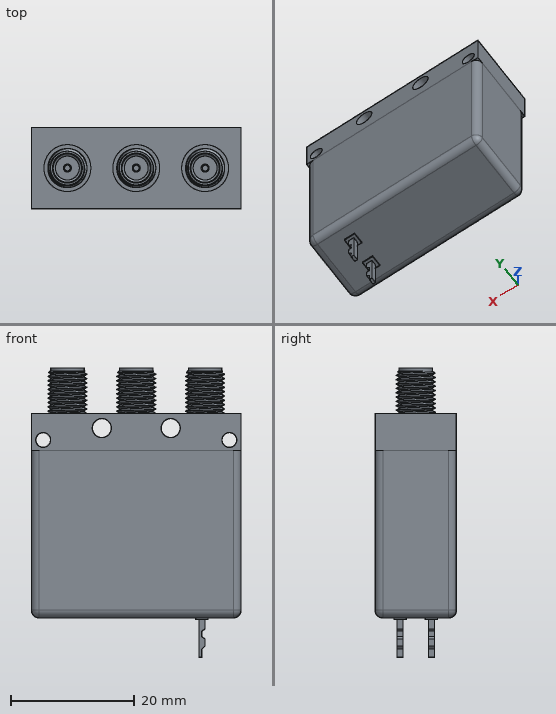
import cadquery as cq
import math

WIDTH = 34.04
DEPTH = 13.23
BLOCK_HEIGHT = 6.05
BLOCK_TOP = 33.23
BLOCK_BOTTOM = BLOCK_TOP - BLOCK_HEIGHT
CASE_ROUND = 1.27

MOUNTING_HOLES = [
    (3.05, 5.59, 2.39),
    (2.36, 15.11, 4.32),
]

TERMINAL_X = 10.67
TERMINAL_SPACING = 5.08
TERMINAL_LENGTH = 6.37
TERMINAL_SIZE = 1.02
TERMINAL_NECK = TERMINAL_SIZE / 2
NOTCH_TOP = 1.78
NOTCH_HEIGHT = 1.6
NOTCH_SLOPE_DROP = 0.35
TIP_SLOPE_TOP = 4.52
COLLAR_SIZE = 2.03
COLLAR_HEIGHT = 0.27

CONNECTOR_COUNT = 3
CONNECTOR_PITCH = 11.18
CONNECTOR_HEIGHT = 7.39
FLANGE_RADIUS = 3.81
FLANGE_THICKNESS = 1.0
BARREL_RADIUS = 2.74
BORE_RADIUS = 2.3
BORE_DEPTH = 1.67
BORE_CHAMFER = 0.13
SEAT_RADIUS = 1.94
SEAT_ANGLE = 38
CONTACT_RADIUS = 0.65
CONTACT_HOLE_RADIUS = 0.47
CONTACT_HOLE_DEPTH = 2.0

THREAD_RADIUS = 6.35 / 2
THREAD_PITCH = 25.4 / 36
THREAD_CREST = 0.02
THREAD_FLANK_ANGLE = 30
PLAIN_LIP_HEIGHT = 0.55
THREAD_TOP = CONNECTOR_HEIGHT - PLAIN_LIP_HEIGHT
THREAD_CHAMFER = THREAD_RADIUS - BARREL_RADIUS
ROOT_OVERLAP = 0.1


def make_terminal(y):
    """Flat lug, notched on its +X edge and stepped at 45 degrees to a narrow tip, under a square collar."""
    left = TERMINAL_X - TERMINAL_SIZE / 2
    right = left + TERMINAL_SIZE
    neck = left + TERMINAL_NECK
    notch_top = -NOTCH_TOP
    notch_bottom = notch_top - NOTCH_HEIGHT
    tip_top = -TIP_SLOPE_TOP
    tip_bottom = tip_top - (right - neck)
    blade = (
        cq.Workplane("XZ", origin=(0, y + TERMINAL_SIZE / 2, 0))
        .polyline([
            (left, -COLLAR_HEIGHT),
            (right, -COLLAR_HEIGHT),
            (right, notch_top),
            (neck, notch_top - NOTCH_SLOPE_DROP),
            (neck, notch_bottom + NOTCH_SLOPE_DROP),
            (right, notch_bottom),
            (right, tip_top),
            (neck, tip_bottom),
            (neck, -TERMINAL_LENGTH),
            (left, -TERMINAL_LENGTH),
        ])
        .close()
        .extrude(TERMINAL_SIZE)
    )
    collar = (
        cq.Workplane("XY", origin=(TERMINAL_X, y, -COLLAR_HEIGHT))
        .box(COLLAR_SIZE, COLLAR_SIZE, COLLAR_HEIGHT, centered=(True, True, False))
    )
    return collar.union(blade)


def make_housing():
    """Case, block and terminals, with a recess in the top for each connector flange."""
    case = (
        cq.Workplane("XY")
        .box(WIDTH, DEPTH, BLOCK_BOTTOM, centered=(True, True, False))
        .edges("|Z or <Z")
        .fillet(CASE_ROUND)
    )
    block = (
        cq.Workplane("XY", origin=(0, 0, BLOCK_BOTTOM))
        .box(WIDTH, DEPTH, BLOCK_HEIGHT, centered=(True, True, False))
    )
    for diameter, offset, drop in MOUNTING_HOLES:
        holes = (
            cq.Workplane("XZ", origin=(0, 0, BLOCK_TOP - drop))
            .pushPoints([(-offset, 0), (offset, 0)])
            .circle(diameter / 2)
            .extrude(DEPTH, both=True)
        )
        block = block.cut(holes)
    flange_recesses = (
        cq.Workplane("XY", origin=(0, 0, BLOCK_TOP - FLANGE_THICKNESS))
        .rarray(CONNECTOR_PITCH, 1, CONNECTOR_COUNT, 1)
        .circle(FLANGE_RADIUS)
        .extrude(FLANGE_THICKNESS)
    )
    body = case.union(block.cut(flange_recesses), clean=False)
    for side in (-1, 1):
        body = body.union(make_terminal(side * TERMINAL_SPACING / 2), clean=False)
    return body


def make_thread():
    """Helical ridge, trimmed flat at the flange and tapered at its upper end."""
    start = -THREAD_PITCH
    root = BARREL_RADIUS - ROOT_OVERLAP
    half_crest = THREAD_CREST / 2
    half_root = half_crest + (THREAD_RADIUS - root) * math.tan(math.radians(THREAD_FLANK_ANGLE))
    helix = cq.Wire.makeHelix(
        THREAD_PITCH, THREAD_TOP + THREAD_PITCH - start, root, center=cq.Vector(0, 0, start)
    )
    ridge = (
        cq.Workplane("XZ")
        .polyline([
            (root, start - half_root),
            (THREAD_RADIUS, start - half_crest),
            (THREAD_RADIUS, start + half_crest),
            (root, start + half_root),
        ])
        .close()
        .sweep(cq.Workplane(helix), isFrenet=True)
    )
    envelope = (
        cq.Workplane("XY")
        .circle(THREAD_RADIUS + ROOT_OVERLAP)
        .extrude(THREAD_TOP)
        .faces(">Z")
        .chamfer(THREAD_CHAMFER)
    )
    return ridge.intersect(envelope)


def make_connector():
    """One connector on the Z axis with its flange top at Z = 0."""
    floor = CONNECTOR_HEIGHT - BORE_DEPTH
    seat = floor - (BORE_RADIUS - SEAT_RADIUS) * math.tan(math.radians(SEAT_ANGLE))
    countersink = CONTACT_RADIUS - CONTACT_HOLE_RADIUS
    body = (
        cq.Workplane("XZ")
        .polyline([
            (0, -FLANGE_THICKNESS),
            (FLANGE_RADIUS, -FLANGE_THICKNESS),
            (FLANGE_RADIUS, 0),
            (BARREL_RADIUS, 0),
            (BARREL_RADIUS, CONNECTOR_HEIGHT),
            (BORE_RADIUS + BORE_CHAMFER, CONNECTOR_HEIGHT),
            (BORE_RADIUS, CONNECTOR_HEIGHT - BORE_CHAMFER),
            (BORE_RADIUS, floor),
            (SEAT_RADIUS, seat),
            (CONTACT_RADIUS, seat),
            (CONTACT_HOLE_RADIUS, seat - countersink),
            (CONTACT_HOLE_RADIUS, seat - CONTACT_HOLE_DEPTH),
            (0, seat - CONTACT_HOLE_DEPTH),
        ])
        .close()
        .revolve(360, (0, 0, 0), (0, 1, 0))
    )
    return body.union(make_thread())


housing = make_housing()

connector = make_connector()
connectors = []
for index in range(CONNECTOR_COUNT):
    x = (index - (CONNECTOR_COUNT - 1) / 2) * CONNECTOR_PITCH
    connectors.append(connector.translate((x, 0, BLOCK_TOP)).val())

result = cq.Compound.makeCompound([housing.val(), *connectors])